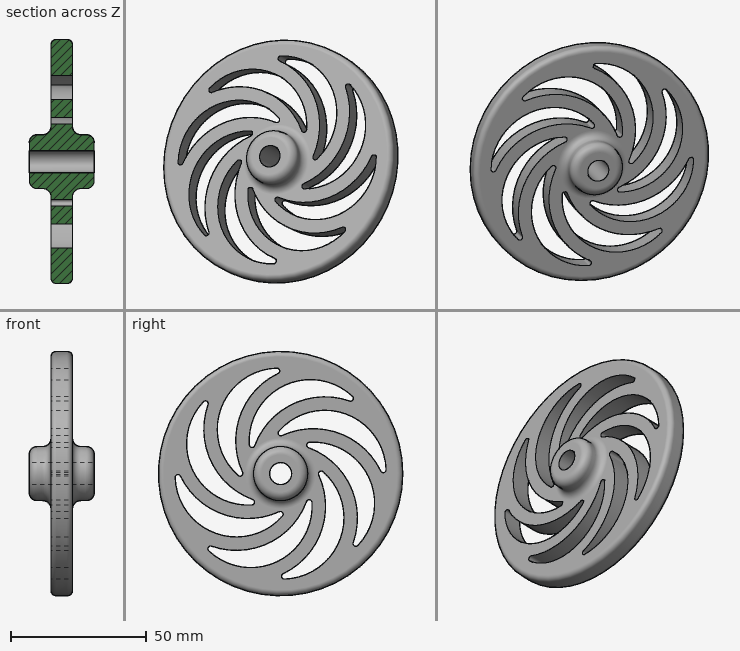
import cadquery as cq
import math

WHEEL_RADIUS = 45.0
DISC_THICKNESS = 8.0
RIM_FILLET = 2.0

HUB_RADIUS = 10.0
HUB_LENGTH = 24.0
HUB_FILLET = 3.0
BORE_DIAMETER = 8.0

WINDOW_COUNT = 8
WINDOW_OUTER_RADIUS = 22.5
SPOKE_WIDTH = 5.0
ARC_CENTER_DISTANCE = 16.3
FIRST_ARC_ANGLE = 2.7
WINDOW_TIP_RADIUS = 1.0

WINDOW_PITCH = 360.0 / WINDOW_COUNT
WINDOW_INNER_RADIUS = WINDOW_OUTER_RADIUS + SPOKE_WIDTH


def axial_cylinder(radius, length):
    """Cylinder along X, centred on the origin."""
    return cq.Workplane("YZ").workplane(offset=-length / 2).circle(radius).extrude(length)


def arc_center(angle):
    """Point (y, z) on the circle that carries the arc centres."""
    turn = math.radians(angle)
    return cq.Vector(ARC_CENTER_DISTANCE * math.cos(turn), ARC_CENTER_DISTANCE * math.sin(turn))


def make_window():
    """Crescent between two arcs whose centres are one pitch apart, with rounded tips."""
    outer_center = arc_center(FIRST_ARC_ANGLE)
    inner_center = arc_center(FIRST_ARC_ANGLE - WINDOW_PITCH)
    center_gap = (outer_center - inner_center).Length
    along = (outer_center - inner_center).normalized()
    across = cq.Vector(-along.y, along.x)

    tip_to_outer = WINDOW_OUTER_RADIUS - WINDOW_TIP_RADIUS
    tip_to_inner = WINDOW_INNER_RADIUS + WINDOW_TIP_RADIUS
    tip_along = (tip_to_inner**2 - tip_to_outer**2 + center_gap**2) / (2 * center_gap)
    tip_across = math.sqrt(tip_to_inner**2 - tip_along**2)

    def tip_points(side):
        """Points where one tip leaves the inner arc, its end, and where it meets the outer arc."""
        center = inner_center + along * tip_along + across * (side * tip_across)
        to_inner = (inner_center - center).normalized()
        to_outer = (center - outer_center).normalized()
        to_end = (to_inner + to_outer).normalized()
        return [center + way * WINDOW_TIP_RADIUS for way in (to_inner, to_end, to_outer)]

    first_inner, first_end, first_outer = tip_points(-1)
    second_inner, second_end, second_outer = tip_points(1)
    return (
        cq.Workplane("YZ")
        .workplane(offset=-DISC_THICKNESS / 2)
        .moveTo(first_inner.x, first_inner.y)
        .threePointArc(first_end.toTuple()[:2], first_outer.toTuple()[:2])
        .threePointArc(
            (outer_center + along * WINDOW_OUTER_RADIUS).toTuple()[:2],
            second_outer.toTuple()[:2],
        )
        .threePointArc(second_end.toTuple()[:2], second_inner.toTuple()[:2])
        .threePointArc(
            (inner_center + along * WINDOW_INNER_RADIUS).toTuple()[:2],
            first_inner.toTuple()[:2],
        )
        .close()
        .extrude(DISC_THICKNESS)
    )


def make_wheel_body():
    """Disc with a rounded rim and a hub blended into both faces."""
    disc = axial_cylinder(WHEEL_RADIUS, DISC_THICKNESS)
    disc = disc.faces("<X or >X").edges().fillet(RIM_FILLET)
    body = disc.union(axial_cylinder(HUB_RADIUS, HUB_LENGTH))
    body = body.faces("<X or >X").edges().fillet(HUB_FILLET)
    box_x = (DISC_THICKNESS + HUB_FILLET) / 2
    box_yz = HUB_RADIUS + HUB_FILLET
    root_box = cq.selectors.BoxSelector(
        (-box_x, -box_yz, -box_yz), (box_x, box_yz, box_yz), boundingbox=True
    )
    return body.edges(root_box).fillet(HUB_FILLET)


result = make_wheel_body()
window = make_window()
for index in range(WINDOW_COUNT):
    result = result.cut(window.rotate((0, 0, 0), (1, 0, 0), index * WINDOW_PITCH))
result = result.cut(axial_cylinder(BORE_DIAMETER / 2, HUB_LENGTH))